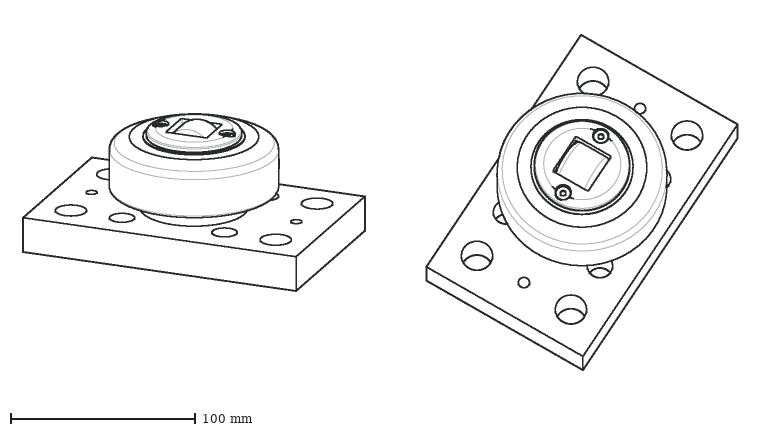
import cadquery as cq

plate_length = 160.0
plate_width = 100.0
plate_height = 20.0
hole_x = 60.0
hole_y = 30.0
corner_hole_diameter = 17.0
inner_hole_diameter = 13.8
pin_hole_diameter = 6.0

neck_diameter = 59.0
neck_chamfer = 0.6
roller_radius = 46.2
roller_crown = 0.2
roller_bottom = 30.7
roller_top = 60.8
bottom_round = 1.6
rim_height = 53.5
cone_base_radius = 43.5
cone_base_height = 57.3
cone_top_radius = 35.2

ring_diameter = 55.5
ring_top = 61.3
cap_diameter = 52.0
cap_chamfer = 0.3
cap_edge_height = 63.7
cap_edge_round = 0.8
cap_cone_radius = 25.5
cap_cone_height = 64.3
cap_flat_radius = 21.0
cap_top = 65.8

screw_offset = 19.5
screw_seat_diameter = 8.6
screw_seat_depth = 1.8
screw_head_diameter = 7.8
screw_head_height = 0.3
socket_diameter = 3.0
socket_depth = 0.8

window_length = 24.0
window_width = 22.5
window_depth = 5.8
window_corner_radius = 0.6
part_top = 68.0
side_roller_radius = 13.8
side_roller_width = 21.3
side_roller_round = 2.5
side_roller_crown = 0.2


def make_plate():
    """Plate with eight bolt holes and two pin holes, all through."""
    plate = cq.Workplane("XY").box(plate_length, plate_width, plate_height, centered=(True, True, False))
    for x, diameter in ((hole_x, corner_hole_diameter), (hole_x / 2, inner_hole_diameter)):
        points = [(i * x, j * hole_y) for i in (-1, 1) for j in (-1, 1)]
        plate = plate.faces(">Z").workplane(origin=(0, 0, 0)).pushPoints(points).hole(diameter)
    pins = [(-hole_x, 0), (hole_x, 0)]
    return plate.faces(">Z").workplane(origin=(0, 0, 0)).pushPoints(pins).hole(pin_hole_diameter)


def make_neck():
    """Round neck between the plate and the roller, with a chamfered upper edge."""
    neck = cq.Workplane("XY").workplane(offset=plate_height).circle(neck_diameter / 2)
    return neck.extrude(roller_bottom - plate_height).faces(">Z").edges().chamfer(neck_chamfer)


def make_roller():
    """Main roller: rounded lower edge, crowned tread, rounded shoulder and cone."""
    edge_radius = roller_radius - roller_crown
    tread_bottom = roller_bottom + bottom_round
    tread_middle = (tread_bottom + rim_height) / 2
    profile = (
        cq.Workplane("XZ")
        .moveTo(0, roller_bottom)
        .lineTo(edge_radius - bottom_round, roller_bottom)
        .radiusArc((edge_radius, tread_bottom), -bottom_round)
        .threePointArc((roller_radius, tread_middle), (edge_radius, rim_height))
        .tangentArcPoint((cone_base_radius, cone_base_height), relative=False)
        .lineTo(cone_top_radius, roller_top)
        .lineTo(0, roller_top)
        .close()
    )
    return profile.revolve(360, (0, 0, 0), (0, 1, 0))


def make_cap():
    """Thin ring carrying a cap with a conical rim and a rounded edge."""
    profile = (
        cq.Workplane("XZ")
        .moveTo(0, roller_top)
        .lineTo(ring_diameter / 2, roller_top)
        .lineTo(ring_diameter / 2, ring_top)
        .lineTo(cap_diameter / 2 - cap_chamfer, ring_top)
        .lineTo(cap_diameter / 2, ring_top + cap_chamfer)
        .lineTo(cap_diameter / 2, cap_edge_height)
        .radiusArc((cap_cone_radius, cap_cone_height), -cap_edge_round)
        .lineTo(cap_flat_radius, cap_top)
        .lineTo(0, cap_top)
        .close()
    )
    return profile.revolve(360, (0, 0, 0), (0, 1, 0))


def make_screw_seats():
    """Two cutters: a round seat that leaves a low screw head with a central socket."""
    points = [(-screw_offset, 0), (screw_offset, 0)]
    start = cq.Workplane("XY").workplane(offset=cap_top).pushPoints(points)
    seats = start.circle(screw_seat_diameter / 2).extrude(-screw_seat_depth)
    floor = cq.Workplane("XY").workplane(offset=cap_top - screw_seat_depth).pushPoints(points)
    heads = floor.circle(screw_head_diameter / 2).extrude(screw_head_height)
    sockets = floor.circle(socket_diameter / 2).extrude(screw_head_height)
    lower_sockets = floor.circle(socket_diameter / 2).extrude(-socket_depth)
    return seats.cut(heads).union(sockets).union(lower_sockets)


def make_window():
    """Cutter for the rectangular window in the cap."""
    top = cq.Workplane("XY").workplane(offset=cap_top)
    window = top.rect(window_length, window_width).extrude(-window_depth)
    return window.edges("|Z").fillet(window_corner_radius)


def make_side_roller():
    """Crowned roller lying along Y that stands slightly proud of the cap."""
    axis_height = part_top - side_roller_radius
    half_width = side_roller_width / 2
    end_radius = side_roller_radius - side_roller_crown
    profile = (
        cq.Workplane("XY")
        .workplane(offset=axis_height)
        .moveTo(0, -half_width)
        .lineTo(end_radius, -half_width)
        .threePointArc((side_roller_radius, 0), (end_radius, half_width))
        .lineTo(0, half_width)
        .close()
    )
    roller = profile.revolve(360, (0, 0, 0), (0, 1, 0))
    roller = roller.faces("<Y or >Y").edges("%CIRCLE").fillet(side_roller_round)
    clearance = cq.Workplane("XY").workplane(offset=cap_top - window_depth)
    return roller.intersect(clearance.rect(window_length, window_width).extrude(part_top))


result = make_plate().union(make_neck()).union(make_roller()).union(make_cap())
result = result.cut(make_screw_seats()).cut(make_window()).union(make_side_roller())